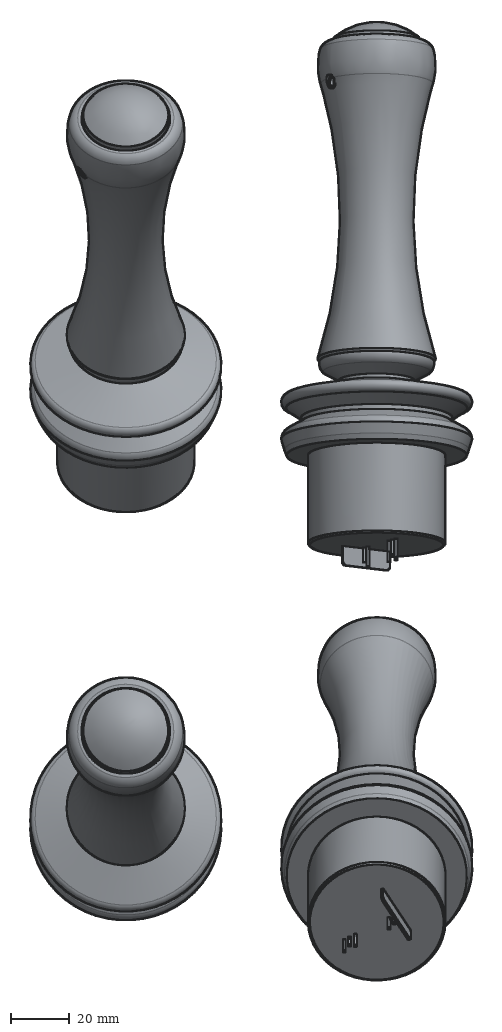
import cadquery as cq


housing_radius = 46.7 / 2
housing_edge = 0.65

flange_bottom = 31.0
flange_foot_radius = 30.6
flange_foot_edge = 32.9
flange_foot_edge_radius = 31.3
flange_radius = 32.5
flange_edge_bottom = 36.6
flange_edge_top = 39.0
flange_top_radius = 31.2
flange_edge_bulge_radius = 32.1
flange_edge_bulge_height = 38.0

lower_groove_radius = 25.7
lower_groove_bottom = 42.2
lower_groove_top = 44.0
fold_radius = 32.5
fold_bottom = 47.3
fold_top = 51.5
fold_edge_radius = 30.8
upper_groove_radius = 12.8
upper_groove_bottom = 55.5
upper_groove_top = 56.9

grip_end_radius = 20.0
grip_skirt_bottom = 59.9
grip_skirt_bottom_radius = 18.2
grip_skirt_bulge_radius = 19.3
grip_skirt_bulge_height = 61.4
grip_band_radius = 19.5
grip_band_bottom = 63.5
grip_band_top = 64.4
waist_radius = 12.5
waist_height = 117.3
head_bottom = 159.4
head_end_radius = 19.1
head_middle = 165.4
head_radius = 20.0
head_edge_height = 171.2
head_edge_radius = 19.3
head_top = 173.6
head_top_radius = 16.3
head_edge_bulge_radius = 18.2
head_edge_bulge_height = 172.7

button_radius = 29.0 / 2
button_rim = 175.1
button_top = 180.4
button_well_radius = 30 / 2
button_well_depth = 1.9

screw_height = 158.2
screw_recess_diameter = 4.7
screw_recess_face = 18.0
screw_socket_diameter = 3.0
screw_socket_depth = 1.5

terminal_root = 1.9
blade_thickness = 0.8
blade_width = 19.1
blade_length = 6.5
blade_corner = 1.0
blade_x = -8.0
blade_y = 1.0
pin_diameter = 1.0
pin_y = -0.8
pins = [
    (-6.4, 5.0),
    (-4.3, 6.8),
    (8.8, 7.3),
    (11.0, 5.0),
    (13.1, 7.3),
]


def make_body():
    """Revolved housing, flange, bellows and grip."""
    flange_edge_bulge = (flange_edge_bulge_radius, flange_edge_bulge_height)
    fold_middle = (fold_bottom + fold_top) / 2
    grip_skirt_bulge = (grip_skirt_bulge_radius, grip_skirt_bulge_height)
    head_edge_bulge = (head_edge_bulge_radius, head_edge_bulge_height)
    profile = (
        cq.Workplane("XZ")
        .moveTo(0, 0)
        .lineTo(housing_radius - housing_edge, 0)
        .lineTo(housing_radius, housing_edge)
        .lineTo(housing_radius, flange_bottom)
        .lineTo(flange_foot_radius, flange_bottom)
        .lineTo(flange_foot_edge_radius, flange_foot_edge)
        .lineTo(flange_radius, flange_edge_bottom)
        .threePointArc(flange_edge_bulge, (flange_top_radius, flange_edge_top))
        .lineTo(lower_groove_radius, lower_groove_bottom)
        .lineTo(lower_groove_radius, lower_groove_top)
        .lineTo(fold_edge_radius, fold_bottom)
        .threePointArc((fold_radius, fold_middle), (fold_edge_radius, fold_top))
        .lineTo(upper_groove_radius, upper_groove_bottom)
        .lineTo(upper_groove_radius, upper_groove_top)
        .lineTo(grip_skirt_bottom_radius, grip_skirt_bottom)
        .threePointArc(grip_skirt_bulge, (grip_band_radius, grip_band_bottom))
        .lineTo(grip_end_radius, grip_band_top)
        .threePointArc((waist_radius, waist_height), (head_end_radius, head_bottom))
        .threePointArc((head_radius, head_middle), (head_edge_radius, head_edge_height))
        .threePointArc(head_edge_bulge, (head_top_radius, head_top))
        .lineTo(0, head_top)
        .close()
    )
    return profile.revolve(360, (0, 0, 0), (0, 1, 0))


def make_button_well():
    """Round pocket in the head that leaves a narrow gap around the button."""
    return (
        cq.Workplane("XY", origin=(0, 0, head_top - button_well_depth))
        .circle(button_well_radius)
        .extrude(button_well_depth)
    )


def make_button():
    """Short cylinder with a spherical dome, standing on the floor of the well."""
    dome_rise = button_top - button_rim
    dome_radius = (button_radius**2 + dome_rise**2) / (2 * dome_rise)
    dome_half_x = button_radius / 2
    dome_half_z = button_top - dome_radius + (dome_radius**2 - dome_half_x**2) ** 0.5
    return (
        cq.Workplane("XZ")
        .moveTo(0, head_top - button_well_depth)
        .lineTo(button_radius, head_top - button_well_depth)
        .lineTo(button_radius, button_rim)
        .threePointArc((dome_half_x, dome_half_z), (0, button_top))
        .close()
        .revolve(360, (0, 0, 0), (0, 1, 0))
    )


def make_screw_recess():
    """Counterbored recess entering the head from the -Y side."""
    recess = (
        cq.Workplane("XZ", origin=(0, -screw_recess_face, screw_height))
        .circle(screw_recess_diameter / 2)
        .extrude(head_radius - screw_recess_face)
    )
    socket = (
        cq.Workplane("XZ", origin=(0, -screw_recess_face, screw_height))
        .circle(screw_socket_diameter / 2)
        .extrude(-screw_socket_depth)
    )
    return recess.union(socket)


def make_blade():
    """Flat terminal with chamfered lower corners."""
    blade_height = blade_length + terminal_root
    return (
        cq.Workplane("XY")
        .box(blade_thickness, blade_width, blade_height, centered=(True, True, False))
        .faces("<Z")
        .edges("|X")
        .chamfer(blade_corner)
        .translate((blade_x, blade_y, -blade_length))
    )


def make_pin(x, length):
    """Round terminal pin rooted in the housing."""
    return (
        cq.Workplane("XY", origin=(x, pin_y, -length))
        .circle(pin_diameter / 2)
        .extrude(length + terminal_root)
    )


result = make_body().cut(make_button_well()).union(make_button())
result = result.cut(make_screw_recess())
result = result.union(make_blade())
for pin_x, pin_length in pins:
    result = result.union(make_pin(pin_x, pin_length))